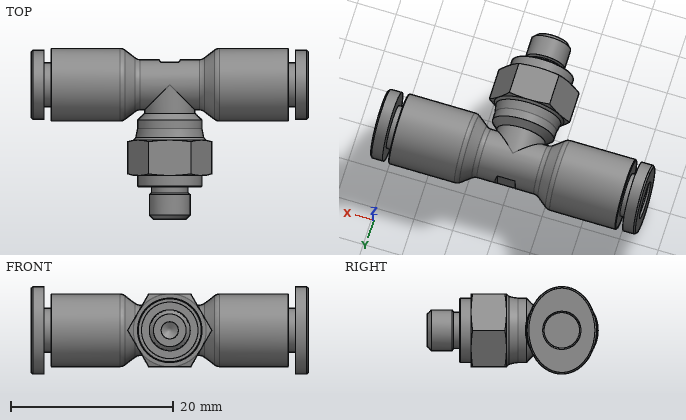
import cadquery as cq
import math

run_half_length = 17.1
sleeve_diameter = 9.0
sleeve_radius = sleeve_diameter / 2
sleeve_end = 14.67
sleeve_end_chamfer = 0.1
shoulder_outer_x = 5.8
shoulder_inner_x = 4.0
shoulder_blend_radius = 1.0
tube_radius = 3.1

collar_thickness = 1.6
collar_half_width = 4.28
collar_half_height = 5.4
collar_chamfer = 0.2
neck_radius = 2.75
port_radius = 2.2
port_depth = 10.95
port_mouth_radius = 2.35
port_mouth_length = 0.27

flat_depth = 0.3
flat_length = 2.25
flat_mouth_length = 2.67

overall_depth = 21.1
branch_length = overall_depth - sleeve_radius
flare_start = 3.52
flare_end = 4.35
barrel_diameter = 7.97
barrel_radius = barrel_diameter / 2
taper_start = 5.4
taper_end = 6.53
taper_radius = 4.2
hex_start = 6.85
hex_end = 11.2
hex_chamfer_angle = 15.0
seat_end = 12.62
seat_edge_chamfer = 0.1
gasket_radius = 3.5
gasket_recess_depth = 0.5

undercut_radius = 2.25
stud_root_flare = 0.17
thread_radius = 2.53
thread_start = 13.35
thread_lead_in = 0.2
tip_chamfer_length = 0.5
tip_radius = 2.02
bore_radius = 1.05
bore_depth = 10.25
drill_point_angle = 118.0

hex_flat_radius = sleeve_radius
hex_corner_radius = hex_flat_radius / math.cos(math.radians(30))


def turned_on_x(points):
    """Revolve an (x, radius) outline about the X axis."""
    return cq.Workplane("XY").polyline(points).close().revolve(360, (0, 0, 0), (1, 0, 0))


def turned_on_branch(points):
    """Revolve a (radius, distance) outline about the branch axis, toward -Y."""
    outline = [(radius, -distance) for radius, distance in points]
    return cq.Workplane("XY").polyline(outline).close().revolve(360, (0, 0, 0), (0, 1, 0))


def run_body():
    """Tube with a blended shoulder and a sleeve at each end."""
    right_side = [
        (shoulder_inner_x, tube_radius),
        (shoulder_outer_x, sleeve_radius),
        (sleeve_end, sleeve_radius),
        (sleeve_end, 0),
    ]
    left_side = [(-x, radius) for x, radius in reversed(right_side)]
    body = turned_on_x(left_side + right_side)
    around_shoulders = cq.selectors.BoxSelector(
        (-shoulder_outer_x - shoulder_blend_radius, -sleeve_diameter, -sleeve_diameter),
        (shoulder_outer_x + shoulder_blend_radius, sleeve_diameter, sleeve_diameter),
    )
    body = body.edges(around_shoulders).edges("%CIRCLE").fillet(shoulder_blend_radius)
    return body.faces("<X or >X").edges().chamfer(sleeve_end_chamfer)


def release_collar():
    """Oval flange and neck at the +X end."""
    flange_x = run_half_length - collar_thickness
    flange = (
        cq.Workplane("YZ", origin=(flange_x, 0, 0))
        .ellipse(collar_half_width, collar_half_height)
        .extrude(collar_thickness)
        .faces(">X").edges().chamfer(collar_chamfer)
    )
    neck = cq.Workplane("YZ", origin=(sleeve_end, 0, 0)).circle(neck_radius).extrude(flange_x - sleeve_end)
    return flange.union(neck)


def tube_port():
    """Blind hole with a chamfered mouth, cut into the +X end."""
    floor_x = run_half_length - port_depth
    return turned_on_x([
        (floor_x, 0),
        (floor_x, port_radius),
        (run_half_length - port_mouth_length, port_radius),
        (run_half_length, port_mouth_radius),
        (run_half_length, 0),
    ])


def back_flat():
    """Shallow trapezoidal cut across the back (+Y) of the tube."""
    floor_y = tube_radius - flat_depth
    return (
        cq.Workplane("XY")
        .polyline([
            (-flat_length / 2, floor_y),
            (-flat_mouth_length / 2, tube_radius),
            (flat_mouth_length / 2, tube_radius),
            (flat_length / 2, floor_y),
        ])
        .close()
        .extrude(tube_radius, both=True)
    )


def branch_barrel():
    """Tube stub, flare and tapered barrel up to the hexagon.

    The stub ends in a right-angled wedge on the run axis, so it meets the equal tube in a mitre.
    """
    barrel = turned_on_branch([
        (0, 0),
        (tube_radius, 0),
        (tube_radius, flare_start),
        (barrel_radius, flare_end),
        (barrel_radius, taper_start),
        (taper_radius, taper_end),
        (hex_flat_radius, hex_start),
        (0, hex_start),
    ])
    mitre_wedge = (
        cq.Workplane("XY")
        .polyline([(0, 0), (hex_start, -hex_start), (-hex_start, -hex_start)])
        .close()
        .extrude(sleeve_diameter, both=True)
    )
    return barrel.intersect(mitre_wedge)


def hexagon():
    """Hexagon with corners toward +X and -X and turned chamfers at both ends."""
    prism = (
        cq.Workplane("XZ", origin=(0, -hex_start, 0))
        .polygon(6, 2 * hex_corner_radius)
        .extrude(hex_end - hex_start)
    )
    corner_drop = (hex_corner_radius - hex_flat_radius) * math.tan(math.radians(hex_chamfer_angle))
    envelope = turned_on_branch([
        (0, hex_start),
        (hex_flat_radius, hex_start),
        (hex_corner_radius, hex_start + corner_drop),
        (hex_corner_radius, hex_end - corner_drop),
        (hex_flat_radius, hex_end),
        (0, hex_end),
    ])
    return prism.intersect(envelope)


def stud():
    """Round seat with a recess in its face, then a flared root, undercut and plain threaded end."""
    recess_floor = seat_end - gasket_recess_depth
    return turned_on_branch([
        (0, hex_end),
        (barrel_radius, hex_end),
        (barrel_radius, seat_end - seat_edge_chamfer),
        (barrel_radius - seat_edge_chamfer, seat_end),
        (gasket_radius, seat_end),
        (gasket_radius, recess_floor),
        (undercut_radius + stud_root_flare, recess_floor),
        (undercut_radius, recess_floor + stud_root_flare),
        (undercut_radius, thread_start),
        (thread_radius, thread_start + thread_lead_in),
        (thread_radius, branch_length - tip_chamfer_length),
        (tip_radius, branch_length),
        (0, branch_length),
    ])


def stud_bore():
    """Blind drilled hole with a conical end."""
    full_radius_end = branch_length - bore_depth
    point_length = bore_radius / math.tan(math.radians(drill_point_angle / 2))
    return turned_on_branch([
        (0, branch_length),
        (bore_radius, branch_length),
        (bore_radius, full_radius_end),
        (0, full_radius_end - point_length),
    ])


run = run_body().cut(back_flat())
collar = release_collar()
port = tube_port()
run = run.union(collar).union(collar.mirror("YZ"))
run = run.cut(port).cut(port.mirror("YZ"))
result = run.union(branch_barrel()).union(hexagon()).union(stud()).cut(stud_bore())